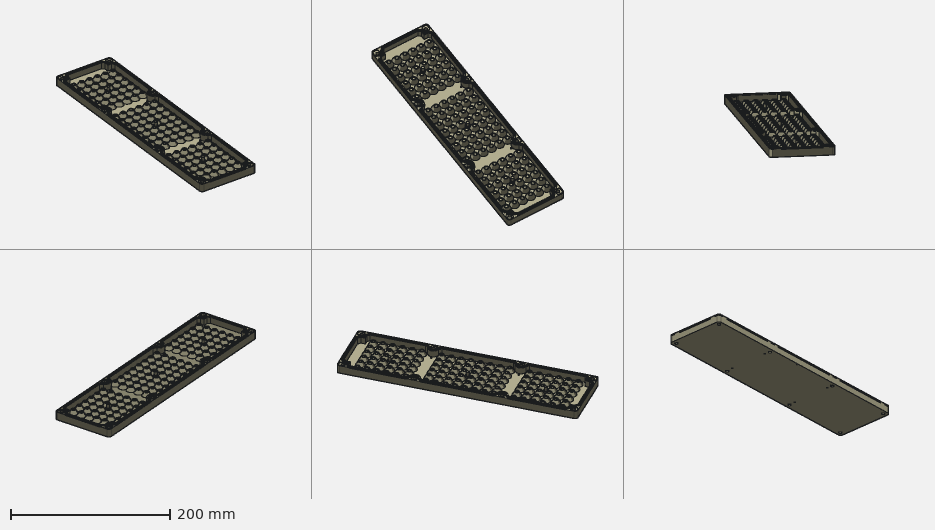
import cadquery as cq

length = 320.0
width = 84.0
height = 11.2
corner_radius = 4.0
floor_thickness = 2.0

wall = 1.3
groove_width = 1.75
lip_width = 1.45
groove_depth = 1.5

screw_hole_diameter = 4.0
corner_screw_x = 153.5
side_screw_x = 58.2
screw_y = 36.0
seat_radius = 3.5
seat_depth = 1.0
boss_radius = 4.0
boss_flare = 5.5

lens_rows = 6
middle_columns = 8
outer_columns = 6
outer_group_x = 104.0
middle_group_span = 91.0
row_span = 60.0
lens_pitch_x = middle_group_span / (middle_columns - 1)
lens_pitch_y = row_span / (lens_rows - 1)
lens_groups = ((-outer_group_x, outer_columns), (0, middle_columns), (outer_group_x, outer_columns))
lens_base_diameter = 12.5
lens_top_diameter = 5.8
lens_height = 5.8
lens_well_diameter = 4.5
lens_well_depth = 1.0

post_diameter = 4.0
post_height = 8.3
collar_diameter = 6.5
collar_height = 2.5

dimple_diameter = 2.0
dimple_depth = 1.0
dimple_y = 27.5

overlap = 0.3

corner_points = [(i * corner_screw_x, j * screw_y) for i in (-1, 1) for j in (-1, 1)]
side_points = [(i * side_screw_x, j * screw_y) for i in (-1, 1) for j in (-1, 1)]
screw_points = corner_points + side_points
dimple_points = [(i * side_screw_x, j * dimple_y) for i in (-1, 1) for j in (-1, 1)]


def sign(value):
    return 1 if value > 0 else -1


def block(x_range, y_range, bottom, tall):
    """Box between two x values and two y values, given in any order."""
    x_size = abs(x_range[1] - x_range[0])
    y_size = abs(y_range[1] - y_range[0])
    box = cq.Workplane("XY").box(x_size, y_size, tall, centered=(True, True, False))
    return box.translate((sum(x_range) / 2, sum(y_range) / 2, bottom))


def side_pad(x, y, radius, edge_y, bottom, tall):
    """U shape around a side screw, open towards the long wall."""
    disc = cq.Workplane("XY", origin=(x, y, bottom)).circle(radius).extrude(tall)
    return disc.union(block((x - radius, x + radius), (y, sign(y) * edge_y), bottom, tall))


def corner_pad(x, y, radius, edge_x, edge_y, bottom, tall):
    """Rectangle around a corner screw, reaching out to both walls."""
    x_range = (x - sign(x) * radius, sign(x) * edge_x)
    y_range = (y - sign(y) * radius, sign(y) * edge_y)
    return block(x_range, y_range, bottom, tall)


def prism(points, tall):
    """Upright block on a polygon, standing on the underside of the tray."""
    return cq.Workplane("XY").polyline(points).close().extrude(tall)


def side_boss(x, y):
    """Round boss whose sloping flanks run out into the long wall."""
    edge_y = sign(y) * width / 2
    wall_y = sign(y) * (width / 2 - wall)
    foot = boss_radius + boss_flare
    flanks = prism(
        [
            (x - boss_radius, y),
            (x - foot, wall_y),
            (x - foot, edge_y),
            (x + foot, edge_y),
            (x + foot, wall_y),
            (x + boss_radius, y),
        ],
        height,
    )
    return flanks.union(cq.Workplane("XY").center(x, y).circle(boss_radius).extrude(height))


def corner_boss(x, y):
    """Square boss whose sloping flanks run out into both walls."""
    edge_x = sign(x) * length / 2
    edge_y = sign(y) * width / 2
    wall_x = sign(x) * (length / 2 - wall)
    wall_y = sign(y) * (width / 2 - wall)
    inner_x = x - sign(x) * boss_radius
    inner_y = y - sign(y) * boss_radius
    foot_x = inner_x - sign(x) * boss_flare
    foot_y = inner_y - sign(y) * boss_flare
    return prism(
        [
            (inner_x, inner_y),
            (inner_x, y),
            (foot_x, wall_y),
            (foot_x, edge_y),
            (edge_x, edge_y),
            (edge_x, foot_y),
            (wall_x, foot_y),
            (x, inner_y),
        ],
        height,
    )


def wall_cavity():
    """Space inside the outer wall and the bosses; its section guides the whole rim."""
    cavity = cq.Workplane("XY").box(
        length - 2 * wall, width - 2 * wall, height, centered=(True, True, False)
    )
    for x, y in side_points:
        cavity = cavity.cut(side_boss(x, y))
    for x, y in corner_points:
        cavity = cavity.cut(corner_boss(x, y))
    return cavity


def inset_cavity(cavity, inset, bottom):
    """Cavity section shrunk by an inset, from a bottom level to the top of the tray."""
    outline = cavity.faces("<Z").wires().vals()
    section = cq.Workplane("XY").add(outline).toPending()
    if inset:
        section = section.offset2D(-inset, "intersection")
    return section.extrude(height - bottom).translate((0, 0, bottom))


def tray():
    body = cq.Workplane("XY").box(length, width, height, centered=(True, True, False))
    body = body.edges("|Z").fillet(corner_radius)
    cavity = wall_cavity()
    groove_floor = height - groove_depth
    groove = inset_cavity(cavity, 0, groove_floor).cut(inset_cavity(cavity, groove_width, groove_floor))
    body = body.cut(groove)
    return body.cut(inset_cavity(cavity, groove_width + lip_width, floor_thickness))


def cut_screw_seats(body):
    edge_x = length / 2 - wall
    edge_y = width / 2 - wall
    bottom = height - seat_depth
    for x, y in side_points:
        body = body.cut(side_pad(x, y, seat_radius, edge_y, bottom, seat_depth))
    for x, y in corner_points:
        seat = corner_pad(x, y, seat_radius, edge_x, edge_y, bottom, seat_depth)
        body = body.cut(seat.edges("|Z").fillet(corner_radius - wall))
    holes = cq.Workplane("XY").pushPoints(screw_points).circle(screw_hole_diameter / 2).extrude(height)
    return body.cut(holes)


def lens_points():
    points = []
    for centre_x, columns in lens_groups:
        for column in range(columns):
            for row in range(lens_rows):
                x = centre_x + (column - (columns - 1) / 2) * lens_pitch_x
                y = (row - (lens_rows - 1) / 2) * lens_pitch_y
                points.append((x, y))
    return points


def lens():
    """Solid of one lens cup without its well, standing on the floor."""
    base_radius = lens_base_diameter / 2
    top_radius = lens_top_diameter / 2
    profile = (
        cq.Workplane("XZ")
        .moveTo(0, -overlap)
        .lineTo(base_radius, -overlap)
        .lineTo(base_radius, 0)
        .lineTo(top_radius, lens_height)
        .lineTo(0, lens_height)
        .close()
    )
    return profile.revolve(360, (0, 0, 0), (0, 1, 0)).translate((0, 0, floor_thickness))


def add_lenses(body):
    points = lens_points()
    cup = lens().val()
    cups = [cup.translate(cq.Vector(x, y, 0)) for x, y in points]
    body = cq.Workplane(body.val().fuse(*cups))
    well_floor = floor_thickness + lens_height - lens_well_depth
    wells = (
        cq.Workplane("XY", origin=(0, 0, well_floor))
        .pushPoints(points)
        .circle(lens_well_diameter / 2)
        .extrude(lens_well_depth)
    )
    return body.cut(wells)


def add_posts(body):
    start = floor_thickness - overlap
    for centre_x, _ in lens_groups:
        base = cq.Workplane("XY", origin=(centre_x, 0, start))
        body = body.union(base.circle(collar_diameter / 2).extrude(collar_height + overlap))
        body = body.union(base.circle(post_diameter / 2).extrude(post_height + overlap))
    return body


def cut_dimples(body):
    dimples = (
        cq.Workplane("XY", origin=(0, 0, floor_thickness - dimple_depth))
        .pushPoints(dimple_points)
        .circle(dimple_diameter / 2)
        .extrude(dimple_depth)
    )
    return body.cut(dimples)


result = cut_dimples(add_posts(add_lenses(cut_screw_seats(tray()))))